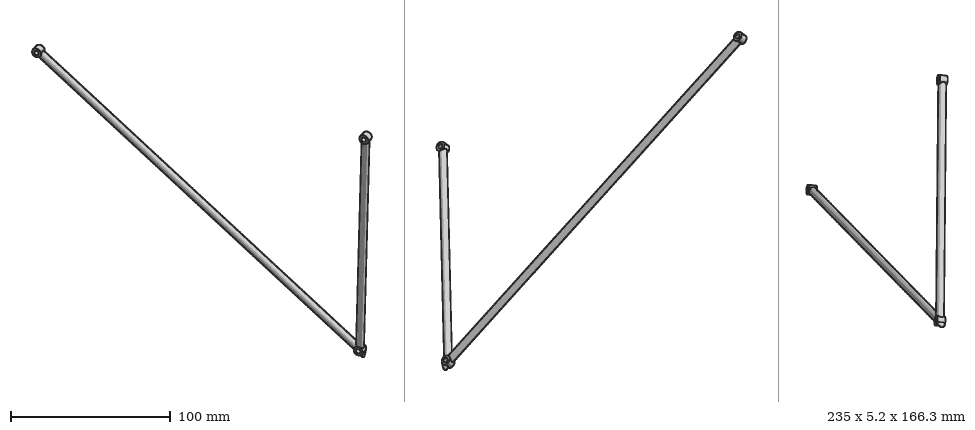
import cadquery as cq
import math

overall_length = 235.0
overall_height = 166.3
eye_diameter = 6.3
hole_diameter = 3.0
rod_diameter = 5.2
joint_drop = 158.1
joint_inset = 4.0

eye_radius = eye_diameter / 2
rod_radius = rod_diameter / 2

left_eye = (0.0, 0.0)
right_eye = (overall_length - eye_diameter, 0.0)
joint_eye = (right_eye[0] - joint_inset, -joint_drop)
eye_centres = [left_eye, right_eye, joint_eye]

rod_run = joint_eye[0] - left_eye[0]
rod_rise = joint_eye[1] - left_eye[1]
rod_length = math.hypot(rod_run, rod_rise)
lowest_z = eye_radius - overall_height
underside_drop = rod_radius * rod_length / rod_run
cut_x = left_eye[0] + (lowest_z + underside_drop - left_eye[1]) * rod_run / rod_rise
rod_overrun = 3 * rod_diameter


def make_cylinder(centre, diameter):
    """Cylinder along Y, centred on the mid-plane of the part."""
    return (
        cq.Workplane("XZ")
        .pushPoints([centre])
        .circle(diameter / 2)
        .extrude(rod_radius, both=True)
    )


def make_rod(start, end, overrun=0.0):
    """Round rod from start towards end, continued past it by overrun."""
    direction = cq.Vector(end[0] - start[0], 0, end[1] - start[1])
    return cq.Workplane(
        cq.Solid.makeCylinder(
            rod_radius,
            direction.Length + overrun,
            cq.Vector(start[0], 0, start[1]),
            direction,
        )
    )


trim_size = 2 * overall_length
trim = cq.Workplane("XY").box(trim_size, trim_size, trim_size).translate((cut_x - trim_size / 2, 0, 0))
long_rod = make_rod(left_eye, joint_eye, rod_overrun).intersect(trim)
short_rod = make_rod(right_eye, joint_eye)

result = long_rod.union(short_rod)
for eye_centre in eye_centres:
    result = result.union(make_cylinder(eye_centre, eye_diameter))
for eye_centre in eye_centres:
    result = result.cut(make_cylinder(eye_centre, hole_diameter))